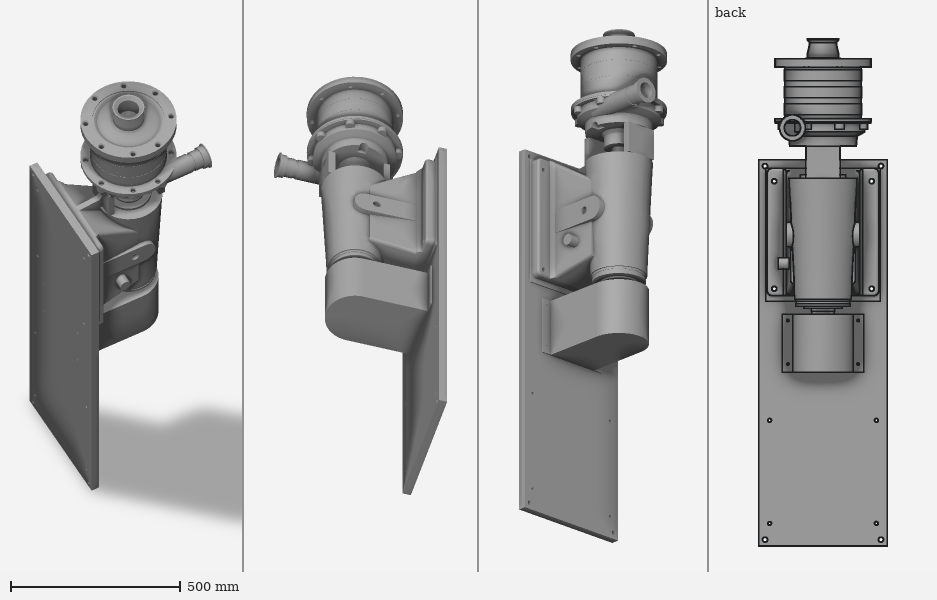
import cadquery as cq
import math

TOTAL_HEIGHT = 1501.2

PLATE_WIDTH = 381.0
PLATE_HEIGHT = 1143.0
PLATE_THICKNESS = 25.4
PLATE_BACK_Y = -228.6
PLATE_FACE_Y = PLATE_BACK_Y + PLATE_THICKNESS
HOLE_INSET = 19.05
CORNER_HOLE_DIA = 14.0
SPARE_HOLE_DIA = 10.0
SPARE_HOLE_HALF_SPACING = 158.0
SPARE_HOLE_HEIGHTS = (372.0, 67.0)

FOOT_HALF_WIDTH = 165.0
FOOT_TOP_DEPTH = 384.0
FOOT_BOTTOM_DEPTH = 760.5
FOOT_UPPER_Y = -171.0
FOOT_CORNER_RADIUS = 15.0
FOOT_EDGE_RADIUS = 8.0
SOLE_THICKNESS = 4.7
SOLE_SIDE_MARGIN = 5.0
SOLE_BOTTOM_MARGIN = 16.0
FOOT_UNDER_Y = PLATE_FACE_Y + SOLE_THICKNESS
FOOT_BOLT_DIA = 14.0
FOOT_BOLT_HALF_SPACING = 144.0
FOOT_BOLT_DEPTHS = (422.0, 740.0)

SADDLE_UPPER_Y = -18.0
SADDLE_UPPER_HALF_WIDTH = 95.0
SADDLE_UPPER_DEPTHS = (479.5, 725.5)
SADDLE_LOWER_Y = -159.0
SADDLE_LOWER_HALF_WIDTH = 108.5
SADDLE_LOWER_FRACTION = (SADDLE_LOWER_Y - SADDLE_UPPER_Y) / (FOOT_UPPER_Y - SADDLE_UPPER_Y)
SADDLE_LOWER_DEPTHS = (
    SADDLE_UPPER_DEPTHS[0] + SADDLE_LOWER_FRACTION * (FOOT_TOP_DEPTH - SADDLE_UPPER_DEPTHS[0]),
    SADDLE_UPPER_DEPTHS[1] + SADDLE_LOWER_FRACTION * (FOOT_BOTTOM_DEPTH - SADDLE_UPPER_DEPTHS[1]),
)
SADDLE_EDGE_RADIUS = 9.0
FLARE_HALF_WIDTH = 118.0
FLARE_BASE_Y = FOOT_UPPER_Y - 10.0

RIB_THICKNESS = 18.0
RIB_START_DEPTH = 364.0
RIB_KNEE_DEPTH = 375.5
RIB_KNEE_Y = -104.0

TAB_OUTER_X = 109.0
TAB_THICKNESS = 30.0
TAB_TOP_DEPTH = 543.5
TAB_BOTTOM_DEPTH = 616.5
TAB_TIP_Y = 32.0
TAB_FOOT_Y = -163.0
TAB_CORNER_RADIUS = 25.0
TAB_HOLE_Y = -36.0
TAB_HOLE_DIA = 24.0
TAB_HOLE_LENGTH = 12.0

INLET_LIP_RADIUS = 47.0
INLET_LIP_THICKNESS = 3.0
INLET_NECK_RADIUS = 39.5
INLET_NECK_DEPTH = 12.0
INLET_BASE_RADIUS = 46.0
INLET_BASE_DEPTH = 44.0
INLET_MOUTH_RADIUS = 43.0
INLET_MOUTH_DEPTH = 9.0
INLET_BORE_RADIUS = 32.0
INLET_BORE_DEPTH = 60.0
INLET_NOSE_RADIUS = 17.0
INLET_NOSE_HEIGHT = 5.0
FLANGE_RADIUS = 142.5
TOP_FLANGE_DEPTH = 59.5
TOP_FLANGE_UNDER_DEPTH = 84.5
DISH_RIM_RADIUS = 107.0
DISH_STEP = 3.0
DISH_LEDGE_RADIUS = 102.0
DISH_FLOOR_RADIUS = 93.0
DISH_FLOOR_DROP = 9.0
DISH_HUB_RADIUS = 52.0

STAGE_COUNT = 3
STAGE_PITCH = 50.5
STAGE_BODY_LENGTH = 33.0
STAGE_RADIUS = 114.3
STAGE_CLAMP_RADIUS = 113.7
STAGE_START_DEPTH = 91.5

LOWER_FLANGE_DEPTH = 236.5
LOWER_FLANGE_STEP_DEPTH = 246.0
LOWER_FLANGE_STEP_RADIUS = 141.5
LOWER_FLANGE_UNDER_DEPTH = 251.0
VOLUTE_RADIUS = 124.0
VOLUTE_UNDER_DEPTH = 275.5
SKIRT_RADIUS = 101.0
SKIRT_DEPTH = 288.5
SKIRT_END_DEPTH = 318.5
SKIRT_END_RADIUS = 99.5
SKIRT_NOTCH_RADIUS = 13.0
SKIRT_NOTCH_LENGTH = 30.0

BOLT_COUNT = 8
BOLT_CIRCLE_RADIUS = 127.5
BOLT_PITCH_ANGLE = 360.0 / BOLT_COUNT
BOLT_HOLE_DIA = 14.0
BOLT_HOLE_CHAMFER = 3.5
SHIFTED_BOLT_ANGLE = 14.5
LUG_RADIUS = 14.0
LUG_UNDER_DEPTH = 268.5

NOZZLE_X = 90.4
NOZZLE_DEPTH = 264.0
NOZZLE_TIP_Y = 211.99
NOZZLE_LIP_RADIUS = 38.5
NOZZLE_LIP_LENGTH = 3.0
NOZZLE_COLLAR_RADIUS = 34.0
NOZZLE_COLLAR_END_Y = 191.0
NOZZLE_RADIUS = 29.4
NOZZLE_GROOVE_RADIUS = 27.0
NOZZLE_GROOVE_START_Y = 164.0
NOZZLE_GROOVE_END_Y = 154.0
NOZZLE_BORE_RADIUS = 24.0
NOZZLE_BORE_LENGTH = 120.0

PORT_RADIUS = 17.0
PORT_END_X = 132.0
PORT_Y = -82.0
PORT_DEPTH = 665.0

LEG_HALF_WIDTH = 51.0
LEG_INNER_Y = 75.0
UPPER_LEG_OUTER_Y = 96.0
LOWER_LEG_OUTER_Y = 93.0

SEAL_CONE_RADIUS = 52.0
SEAL_RADIUS = 44.5
SEAL_CONE_DEPTH = 329.5
SEAL_END_DEPTH = 363.5
SHAFT_RADIUS = 20.0
NUT_RADIUS = 35.0
NUT_DEPTH = 388.5
CAP_RADIUS = 47.0
CAP_DEPTH = 397.5
COVER_RADIUS = 68.0
COVER_DEPTH = 403.5
HOUSING_DEPTH = 412.5
HOUSING_TOP_RADIUS = 101.0
HOUSING_END_DEPTH = 770.5
HOUSING_END_RADIUS = 84.0
END_RING_RADIUS = 80.0
END_GROOVE_RADIUS = 78.5
END_GROOVE_START_DEPTH = 777.5
END_GROOVE_END_DEPTH = 784.5
END_RING_DEPTH = 792.5
END_CAP_RADIUS = 57.0
END_CAP_DEPTH = 797.5
HUB_NUT_END_DEPTH = 806.0
COUPLING_RADIUS = 33.0
COUPLING_DEPTH = 815.5

BLOCK_RADIUS = 88.9
BLOCK_LENGTH = 172.0
BLOCK_FLANGE_HALF_WIDTH = 120.0
BLOCK_FLANGE_THICKNESS = SOLE_THICKNESS
BLOCK_BOLT_DIA = 6.0
BLOCK_BOLT_HALF_SPACING = 104.0
BLOCK_BOLT_DEPTHS = (834.0, 963.0)


def height(depth):
    """Z coordinate of a depth below the inlet face."""
    return TOTAL_HEIGHT - depth


def span_box(x0, x1, y0, y1, z0, z1):
    """Box between two opposite corners."""
    return cq.Workplane("XY").box(x1 - x0, y1 - y0, z1 - z0, centered=False).translate((x0, y0, z0))


def bolt_holes(half_spacing, heights, diameter):
    """Mirrored pairs of holes through everything near the mounting plate, along Y."""
    places = [(side * half_spacing, z) for z in heights for side in (-1, 1)]
    length = FOOT_UPPER_Y - PLATE_BACK_Y
    drill = cq.Workplane("XZ", origin=(0, FOOT_UPPER_Y, 0))
    return drill.pushPoints(places).circle(diameter / 2).extrude(length)


FOOT_HOLES = bolt_holes(FOOT_BOLT_HALF_SPACING, [height(d) for d in FOOT_BOLT_DEPTHS], FOOT_BOLT_DIA)
BLOCK_HOLES = bolt_holes(BLOCK_BOLT_HALF_SPACING, [height(d) for d in BLOCK_BOLT_DEPTHS], BLOCK_BOLT_DIA)


def make_mounting_plate():
    half = PLATE_WIDTH / 2
    plate = span_box(-half, half, PLATE_BACK_Y, PLATE_FACE_Y, 0, PLATE_HEIGHT)
    corner_heights = (HOLE_INSET, PLATE_HEIGHT - HOLE_INSET)
    plate = plate.cut(bolt_holes(half - HOLE_INSET, corner_heights, CORNER_HOLE_DIA))
    plate = plate.cut(bolt_holes(SPARE_HOLE_HALF_SPACING, SPARE_HOLE_HEIGHTS, SPARE_HOLE_DIA))
    return plate.cut(FOOT_HOLES).cut(BLOCK_HOLES)


def make_support_block():
    """D-shaped block whose round side is centred on the pump axis, on a thin flange."""
    top = height(COUPLING_DEPTH)
    bottom = top - BLOCK_LENGTH
    block = (
        cq.Workplane("XY", origin=(0, 0, bottom))
        .moveTo(-BLOCK_RADIUS, PLATE_FACE_Y)
        .lineTo(BLOCK_RADIUS, PLATE_FACE_Y)
        .lineTo(BLOCK_RADIUS, 0)
        .threePointArc((0, BLOCK_RADIUS), (-BLOCK_RADIUS, 0))
        .close()
        .extrude(BLOCK_LENGTH)
    )
    wide = BLOCK_FLANGE_HALF_WIDTH
    flange = span_box(-wide, wide, PLATE_FACE_Y, PLATE_FACE_Y + BLOCK_FLANGE_THICKNESS, bottom, top)
    return block.union(flange).cut(BLOCK_HOLES)


def make_rotating_profile():
    """Everything on the pump axis, from inlet to coupling, as one revolved profile."""
    outline = [
        (0, INLET_BORE_DEPTH - INLET_NOSE_HEIGHT),
        (INLET_NOSE_RADIUS, INLET_BORE_DEPTH - INLET_NOSE_HEIGHT),
        (INLET_NOSE_RADIUS, INLET_BORE_DEPTH),
        (INLET_BORE_RADIUS, INLET_BORE_DEPTH),
        (INLET_BORE_RADIUS, INLET_MOUTH_DEPTH),
        (INLET_MOUTH_RADIUS, 0),
        (INLET_LIP_RADIUS, 0),
        (INLET_LIP_RADIUS, INLET_LIP_THICKNESS),
        (INLET_NECK_RADIUS, INLET_NECK_DEPTH),
        (INLET_BASE_RADIUS, INLET_BASE_DEPTH),
        (INLET_BASE_RADIUS, TOP_FLANGE_DEPTH - DISH_STEP),
        (DISH_HUB_RADIUS, TOP_FLANGE_DEPTH),
        (DISH_FLOOR_RADIUS, TOP_FLANGE_DEPTH + DISH_FLOOR_DROP),
        (DISH_LEDGE_RADIUS, TOP_FLANGE_DEPTH + DISH_STEP),
        (DISH_RIM_RADIUS, TOP_FLANGE_DEPTH + DISH_STEP),
        (DISH_RIM_RADIUS, TOP_FLANGE_DEPTH),
        (FLANGE_RADIUS, TOP_FLANGE_DEPTH),
        (FLANGE_RADIUS, TOP_FLANGE_UNDER_DEPTH),
        (STAGE_CLAMP_RADIUS, TOP_FLANGE_UNDER_DEPTH),
    ]
    for stage in range(STAGE_COUNT):
        start = STAGE_START_DEPTH + stage * STAGE_PITCH
        end = start + STAGE_BODY_LENGTH
        outline += [
            (STAGE_CLAMP_RADIUS, start),
            (STAGE_RADIUS, start),
            (STAGE_RADIUS, end),
            (STAGE_CLAMP_RADIUS, end),
        ]
    outline += [
        (STAGE_CLAMP_RADIUS, LOWER_FLANGE_DEPTH),
        (FLANGE_RADIUS, LOWER_FLANGE_DEPTH),
        (FLANGE_RADIUS, LOWER_FLANGE_STEP_DEPTH),
        (LOWER_FLANGE_STEP_RADIUS, LOWER_FLANGE_STEP_DEPTH),
        (LOWER_FLANGE_STEP_RADIUS, LOWER_FLANGE_UNDER_DEPTH),
        (VOLUTE_RADIUS, LOWER_FLANGE_UNDER_DEPTH),
        (VOLUTE_RADIUS, VOLUTE_UNDER_DEPTH),
        (SKIRT_RADIUS, SKIRT_DEPTH),
        (SKIRT_END_RADIUS, SKIRT_END_DEPTH),
        (SEAL_CONE_RADIUS, SKIRT_END_DEPTH),
        (SEAL_RADIUS, SEAL_CONE_DEPTH),
        (SEAL_RADIUS, SEAL_END_DEPTH),
        (SHAFT_RADIUS, SEAL_END_DEPTH),
        (SHAFT_RADIUS, NUT_DEPTH),
        (NUT_RADIUS, NUT_DEPTH),
        (NUT_RADIUS, CAP_DEPTH),
        (CAP_RADIUS, CAP_DEPTH),
        (CAP_RADIUS, COVER_DEPTH),
        (COVER_RADIUS, COVER_DEPTH),
        (COVER_RADIUS, HOUSING_DEPTH),
        (HOUSING_TOP_RADIUS, HOUSING_DEPTH),
        (HOUSING_END_RADIUS, HOUSING_END_DEPTH),
        (END_RING_RADIUS, HOUSING_END_DEPTH),
        (END_RING_RADIUS, END_GROOVE_START_DEPTH),
        (END_GROOVE_RADIUS, END_GROOVE_START_DEPTH),
        (END_GROOVE_RADIUS, END_GROOVE_END_DEPTH),
        (END_RING_RADIUS, END_GROOVE_END_DEPTH),
        (END_RING_RADIUS, END_RING_DEPTH),
        (END_CAP_RADIUS, END_RING_DEPTH),
        (END_CAP_RADIUS, END_CAP_DEPTH),
        (NUT_RADIUS, END_CAP_DEPTH),
        (NUT_RADIUS, HUB_NUT_END_DEPTH),
        (COUPLING_RADIUS, HUB_NUT_END_DEPTH),
        (COUPLING_RADIUS, COUPLING_DEPTH),
        (0, COUPLING_DEPTH),
    ]
    points = [(radius, height(depth)) for radius, depth in outline]
    return cq.Workplane("YZ").polyline(points).close().revolve(360, (0, 0), (0, 1))


def on_circle(radius, angle):
    """Point on a circle round the pump axis."""
    return radius * math.cos(math.radians(angle)), radius * math.sin(math.radians(angle))


def make_flange_lugs():
    """Round bolting lugs under the lower flange, merging with the volute."""
    angles = [BOLT_PITCH_ANGLE * (i + 0.5) for i in range(BOLT_COUNT)]
    places = [on_circle(BOLT_CIRCLE_RADIUS, angle) for angle in angles]
    lugs = cq.Workplane("XY", origin=(0, 0, height(LUG_UNDER_DEPTH)))
    return lugs.pushPoints(places).circle(LUG_RADIUS).extrude(LUG_UNDER_DEPTH - LOWER_FLANGE_UNDER_DEPTH)


def make_flange_holes(top_depth, under_depth):
    """Chamfered holes for the flange bolts; the first hole is shifted towards the X axis."""
    angles = [SHIFTED_BOLT_ANGLE] + [BOLT_PITCH_ANGLE * (i + 0.5) for i in range(1, BOLT_COUNT)]
    top = height(top_depth)
    radius = BOLT_HOLE_DIA / 2
    profile = [
        (0, top),
        (radius + BOLT_HOLE_CHAMFER, top),
        (radius, top - BOLT_HOLE_CHAMFER),
        (radius, height(under_depth)),
        (0, height(under_depth)),
    ]
    drill = cq.Workplane("XZ").polyline(profile).close().revolve(360, (0, 0), (0, 1))
    holes = cq.Workplane("XY")
    for angle in angles:
        x, y = on_circle(BOLT_CIRCLE_RADIUS, angle)
        holes = holes.add(drill.translate((x, y, 0)))
    return holes.combine()


def make_discharge_nozzle():
    """Tangential outlet along +Y, revolved about its own axis."""
    profile = [
        (0, 0),
        (NOZZLE_RADIUS, 0),
        (NOZZLE_RADIUS, NOZZLE_GROOVE_END_Y),
        (NOZZLE_GROOVE_RADIUS, NOZZLE_GROOVE_END_Y),
        (NOZZLE_GROOVE_RADIUS, NOZZLE_GROOVE_START_Y),
        (NOZZLE_RADIUS, NOZZLE_GROOVE_START_Y),
        (NOZZLE_RADIUS, NOZZLE_COLLAR_END_Y),
        (NOZZLE_COLLAR_RADIUS, NOZZLE_COLLAR_END_Y),
        (NOZZLE_COLLAR_RADIUS, NOZZLE_TIP_Y - NOZZLE_LIP_LENGTH),
        (NOZZLE_LIP_RADIUS, NOZZLE_TIP_Y - NOZZLE_LIP_LENGTH),
        (NOZZLE_LIP_RADIUS, NOZZLE_TIP_Y),
        (NOZZLE_BORE_RADIUS, NOZZLE_TIP_Y),
        (NOZZLE_BORE_RADIUS, NOZZLE_TIP_Y - NOZZLE_BORE_LENGTH),
        (0, NOZZLE_TIP_Y - NOZZLE_BORE_LENGTH),
    ]
    nozzle = cq.Workplane("XY").polyline(profile).close().revolve(360, (0, 0), (0, 1))
    return nozzle.translate((NOZZLE_X, 0, height(NOZZLE_DEPTH)))


def make_oil_port():
    """Round stub along +X, starting inside the saddle wall."""
    start_x = SADDLE_UPPER_HALF_WIDTH / 2
    start = cq.Workplane("YZ", origin=(start_x, PORT_Y, height(PORT_DEPTH)))
    return start.circle(PORT_RADIUS).extrude(PORT_END_X - start_x)


def make_yoke_legs():
    top = height(SKIRT_END_DEPTH)
    bottom = height(HOUSING_DEPTH)
    upper = span_box(-LEG_HALF_WIDTH, LEG_HALF_WIDTH, LEG_INNER_Y, UPPER_LEG_OUTER_Y, bottom, top)
    lower = span_box(-LEG_HALF_WIDTH, LEG_HALF_WIDTH, -LOWER_LEG_OUTER_Y, -LEG_INNER_Y, bottom, top)
    return upper.union(lower)


def make_skirt_notches():
    """Half-round notches in the lower rim of the skirt, on both X sides."""
    outer = VOLUTE_RADIUS
    inner = SKIRT_RADIUS - SKIRT_NOTCH_LENGTH
    radius = SKIRT_NOTCH_RADIUS
    start = cq.Workplane("YZ", origin=(inner, 0, height(SKIRT_END_DEPTH)))
    notch = (
        start.moveTo(-radius, -radius)
        .lineTo(-radius, 0)
        .threePointArc((0, radius), (radius, 0))
        .lineTo(radius, -radius)
        .close()
        .extrude(outer - inner)
    )
    return notch.union(notch.mirror("YZ"))


def saddle_section(y, half_width, depths):
    top, bottom = (height(depth) for depth in depths)
    corners = [(-half_width, top), (half_width, top), (half_width, bottom), (-half_width, bottom)]
    return cq.Wire.makePolygon([cq.Vector(x, y, z) for x, z in corners], close=True)


def make_saddle():
    """Widening block that carries the bearing housing on the foot."""
    upper = saddle_section(SADDLE_UPPER_Y, SADDLE_UPPER_HALF_WIDTH, SADDLE_UPPER_DEPTHS)
    lower = saddle_section(SADDLE_LOWER_Y, SADDLE_LOWER_HALF_WIDTH, SADDLE_LOWER_DEPTHS)
    saddle = cq.Workplane(obj=cq.Solid.makeLoft([upper, lower], True))
    long_edges = saddle.edges("not(#Y)")
    return long_edges.fillet(SADDLE_EDGE_RADIUS)


def make_saddle_flare():
    """Flared skirt of the saddle, ending flush with both ends of the foot."""
    foot_depths = (FOOT_TOP_DEPTH, FOOT_BOTTOM_DEPTH)
    upper = saddle_section(SADDLE_LOWER_Y, SADDLE_LOWER_HALF_WIDTH, SADDLE_LOWER_DEPTHS)
    lower = saddle_section(FOOT_UPPER_Y, FLARE_HALF_WIDTH, foot_depths)
    base = saddle_section(FLARE_BASE_Y, FLARE_HALF_WIDTH, foot_depths)
    flare = cq.Workplane(obj=cq.Solid.makeLoft([upper, lower], True))
    return flare.union(cq.Workplane(obj=cq.Solid.makeLoft([lower, base], True)))


def make_foot():
    wide = FOOT_HALF_WIDTH
    foot_top = height(FOOT_TOP_DEPTH)
    foot_bottom = height(FOOT_BOTTOM_DEPTH)
    foot = span_box(-wide, wide, FOOT_UNDER_Y, FOOT_UPPER_Y, foot_bottom, foot_top)
    foot = foot.edges("|Y").fillet(FOOT_CORNER_RADIUS).faces(">Y").edges().fillet(FOOT_EDGE_RADIUS)
    sole_wide = wide + SOLE_SIDE_MARGIN
    sole_bottom = foot_bottom - SOLE_BOTTOM_MARGIN
    sole = span_box(-sole_wide, sole_wide, PLATE_FACE_Y, FOOT_UNDER_Y, sole_bottom, foot_top)
    return foot.union(sole)


def make_rib():
    """Upright rib in the middle plane, from the lower leg down to the foot."""
    base = height(SADDLE_UPPER_DEPTHS[0])
    rib = cq.Workplane("YZ", origin=(-RIB_THICKNESS / 2, 0, 0))
    rib = (
        rib.moveTo(-LEG_INNER_Y, base)
        .lineTo(-LEG_INNER_Y, height(RIB_START_DEPTH))
        .lineTo(-LOWER_LEG_OUTER_Y, height(RIB_START_DEPTH))
        .lineTo(RIB_KNEE_Y, height(RIB_KNEE_DEPTH))
        .lineTo(FOOT_UPPER_Y, height(FOOT_TOP_DEPTH))
        .lineTo(FOOT_UPPER_Y, base)
        .close()
    )
    return rib.extrude(RIB_THICKNESS)


def make_lifting_tab():
    """Round-tipped tab on the +X side, and the blind eye to cut into it."""
    top = height(TAB_TOP_DEPTH)
    bottom = height(TAB_BOTTOM_DEPTH)
    middle = (top + bottom) / 2
    tip_centre_y = TAB_TIP_Y - (top - bottom) / 2
    start = cq.Workplane("YZ", origin=(TAB_OUTER_X - TAB_THICKNESS, 0, 0))
    tab = (
        start.moveTo(TAB_FOOT_Y, bottom)
        .lineTo(tip_centre_y, bottom)
        .threePointArc((TAB_TIP_Y, middle), (tip_centre_y, top))
        .lineTo(TAB_FOOT_Y + TAB_CORNER_RADIUS, top)
        .radiusArc((TAB_FOOT_Y, top - TAB_CORNER_RADIUS), -TAB_CORNER_RADIUS)
        .close()
        .extrude(TAB_THICKNESS)
    )
    eye_start = TAB_OUTER_X - TAB_HOLE_LENGTH
    eye = cq.Workplane("YZ", origin=(eye_start, TAB_HOLE_Y, middle)).circle(TAB_HOLE_DIA / 2)
    return tab, eye.extrude(TAB_HOLE_LENGTH)


def make_pump():
    pump = make_rotating_profile().cut(make_skirt_notches())
    pump = pump.union(make_flange_lugs())
    pump = pump.cut(make_flange_holes(TOP_FLANGE_DEPTH, TOP_FLANGE_UNDER_DEPTH))
    pump = pump.cut(make_flange_holes(LOWER_FLANGE_DEPTH, LOWER_FLANGE_UNDER_DEPTH))
    pump = pump.union(make_discharge_nozzle())
    pump = pump.union(make_yoke_legs()).union(make_rib())
    pump = pump.union(make_saddle()).union(make_saddle_flare()).union(make_foot())
    pump = pump.union(make_oil_port())
    tab, eye = make_lifting_tab()
    for side_tab, side_eye in ((tab, eye), (tab.mirror("YZ"), eye.mirror("YZ"))):
        pump = pump.union(side_tab).cut(side_eye)
    return pump.cut(FOOT_HOLES)


mounting_plate = make_mounting_plate()
support_block = make_support_block()
pump = make_pump()

result = cq.Compound.makeCompound([mounting_plate.val(), support_block.val(), pump.val()])